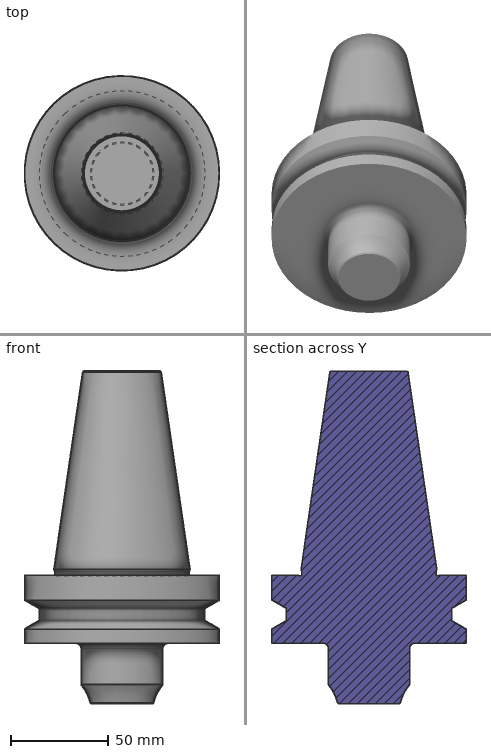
import cadquery as cq
import math


gauge_diameter = 69.85
taper_ratio = 7 / 24
shank_length = 101.8
tip_chamfer_height = 0.7
tip_chamfer_width = 0.8

neck_diameter = 69.25
neck_bevel_height = 1.0
recess_outer_diameter = 72.6
recess_floor_diameter = 71.0
recess_wall_angle = 15.0

flange_diameter = 100.0
flange_top = -3.0
flange_bottom = -38.0
groove_floor_diameter = 85.0
groove_floor_width = 6.2
groove_centre = -23.2
groove_flank_angle = 30.0
groove_corner_radius = 0.6

nose_diameter = 42.0
nose_root_radius = 2.5
nose_end = -69.0
shoulder = -59.0
shoulder_bevel_height = 0.4
shoulder_bevel_width = 0.2
nose_end_diameter = 32.6
nose_end_chamfer = 0.6
nose_curve_sag = 0.6


def unit_vector(start, end):
    length = math.dist(start, end)
    return ((end[0] - start[0]) / length, (end[1] - start[1]) / length)


def rounded_corner(profile, before, corner, after, radius):
    """Draw a line towards a corner and round it with an arc tangent to both of its sides."""
    back = unit_vector(corner, before)
    ahead = unit_vector(corner, after)
    half_angle = math.acos(back[0] * ahead[0] + back[1] * ahead[1]) / 2
    setback = radius / math.tan(half_angle)
    arc_start = (corner[0] + setback * back[0], corner[1] + setback * back[1])
    arc_end = (corner[0] + setback * ahead[0], corner[1] + setback * ahead[1])
    bisector = unit_vector((0, 0), (back[0] + ahead[0], back[1] + ahead[1]))
    middle_distance = radius / math.sin(half_angle) - radius
    arc_middle = (
        corner[0] + middle_distance * bisector[0],
        corner[1] + middle_distance * bisector[1],
    )
    return profile.lineTo(*arc_start).threePointArc(arc_middle, arc_end)


def add_shank(profile):
    """Run from the axis at the tip, down the taper and along the neck to its recess."""
    gauge_radius = gauge_diameter / 2
    chamfer_base = shank_length - tip_chamfer_height
    tip_radius = gauge_radius - chamfer_base * taper_ratio / 2
    neck_radius = neck_diameter / 2
    recess_radius = recess_outer_diameter / 2
    recess_floor_radius = recess_floor_diameter / 2
    recess_depth = (recess_radius - recess_floor_radius) * math.tan(math.radians(recess_wall_angle))
    recess_floor = flange_top - recess_depth
    return (
        profile
        .lineTo(tip_radius - tip_chamfer_width, shank_length)
        .lineTo(tip_radius, chamfer_base)
        .lineTo(gauge_radius, 0)
        .lineTo(neck_radius, -neck_bevel_height)
        .lineTo(neck_radius, recess_floor)
        .lineTo(recess_floor_radius, recess_floor)
        .lineTo(recess_radius, flange_top)
    )


def add_flange(profile):
    """Run across the flange top, then down its rim and around the groove."""
    rim_radius = flange_diameter / 2
    floor_radius = groove_floor_diameter / 2
    half_floor = groove_floor_width / 2
    flank_height = (rim_radius - floor_radius) * math.tan(math.radians(groove_flank_angle))
    upper_lip = (rim_radius, groove_centre + half_floor + flank_height)
    upper_corner = (floor_radius, groove_centre + half_floor)
    lower_corner = (floor_radius, groove_centre - half_floor)
    lower_lip = (rim_radius, groove_centre - half_floor - flank_height)
    profile = profile.lineTo(rim_radius, flange_top).lineTo(*upper_lip)
    profile = rounded_corner(profile, upper_lip, upper_corner, lower_corner, groove_corner_radius)
    profile = rounded_corner(profile, upper_corner, lower_corner, lower_lip, groove_corner_radius)
    return profile.lineTo(*lower_lip).lineTo(rim_radius, flange_bottom)


def add_nose(profile):
    """Run along the flange bottom and down the nose to the axis at its end."""
    nose_radius = nose_diameter / 2
    rim_corner = (flange_diameter / 2, flange_bottom)
    root_corner = (nose_radius, flange_bottom)
    shoulder_corner = (nose_radius, shoulder)
    curve_start = (nose_radius - shoulder_bevel_width, shoulder - shoulder_bevel_height)
    curve_end = (nose_end_diameter / 2, nose_end + nose_end_chamfer)
    profile = rounded_corner(profile, rim_corner, root_corner, shoulder_corner, nose_root_radius)
    return (
        profile
        .lineTo(*shoulder_corner)
        .lineTo(*curve_start)
        .sagittaArc(curve_end, -nose_curve_sag)
        .lineTo(curve_end[0] - nose_end_chamfer, nose_end)
        .lineTo(0, nose_end)
    )


half_section = cq.Workplane("XZ").moveTo(0, shank_length)
half_section = add_shank(half_section)
half_section = add_flange(half_section)
half_section = add_nose(half_section)

result = half_section.close().revolve(360, (0, 0, 0), (0, 1, 0))